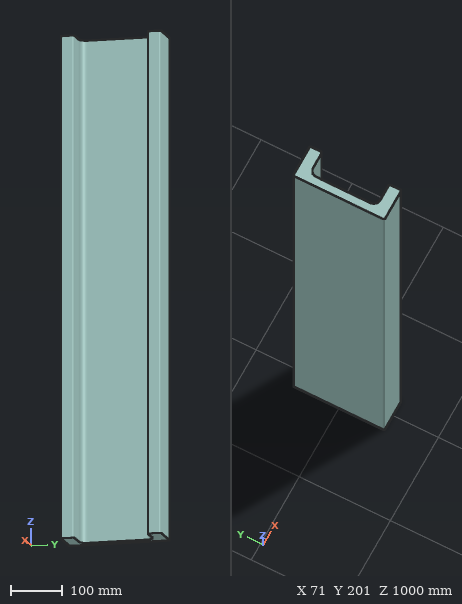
import cadquery as cq

LENGTH = 1000.0
DEPTH = 201.0
FLANGE_WIDTH = 71.0
WEB_THICKNESS = 19.0
FLANGE_THICKNESS = 27.0
ROOT_RADIUS = 14.0
CORNER_RADIUS = 3.6

outer = cq.Workplane("XY").box(FLANGE_WIDTH, DEPTH, LENGTH)

trough_width = FLANGE_WIDTH - WEB_THICKNESS
trough_depth = DEPTH - 2 * FLANGE_THICKNESS
trough = (
    cq.Workplane("XY")
    .box(trough_width, trough_depth, LENGTH)
    .edges("|Z and <X")
    .fillet(ROOT_RADIUS)
    .translate((WEB_THICKNESS / 2, 0, 0))
)

channel = outer.cut(trough)

result = channel.edges("|Z and (<X or >X)").fillet(CORNER_RADIUS)